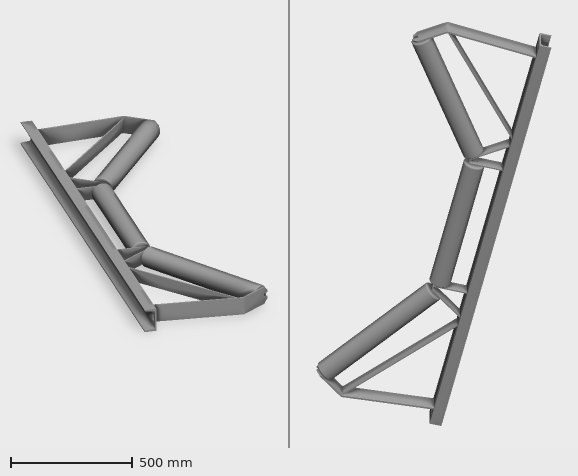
import cadquery as cq
import math


CHANNEL_LENGTH = 1900.0
CHANNEL_HEIGHT = 100.0
CHANNEL_DEPTH = 50.0
WEB_THICKNESS = 6.0
FLANGE_TOE_THICKNESS = 6.8
FLANGE_ROOT_THICKNESS = 10.3
ROOT_RADIUS = 8.5
TOE_RADIUS = 4.0
MOUNT_SLOT_X = 923.0
MOUNT_SLOT_LENGTH = 28.0
MOUNT_SLOT_WIDTH = 17.0

TROUGH_ANGLE = 35.0
ROLLER_DIAMETER = 90.0
ROLLER_LENGTH = 600.0
ROLLER_EDGE_RADIUS = 5.0
SHAFT_DIAMETER = 20.0
SHAFT_FLAT_WIDTH = 17.0
CENTER_ROLLER_Y = 167.0
WING_ROLLER_X = 593.0
WING_ROLLER_Y = 353.0

OUTER_THICKNESS = 8.0
OUTER_WIDTH = 76.0
INNER_THICKNESS = 5.0
INNER_WIDTH = 57.0
ROLLER_GAP = 5.0
OUTER_BEND_Y = 433.0
OUTER_BEND_RADIUS = 17.0
OUTER_FOOT_X = 884.0
OUTER_TIP_RISE = 32.0
OUTER_TIP_CHAMFER = 19.0
INNER_BEND_RADIUS = 4.0
INNER_TOP_Y = 192.0
BRACE_FOOT_X = 471.0

seat_face = ROLLER_LENGTH / 2 + ROLLER_GAP
outer_offset = seat_face + OUTER_THICKNESS / 2
inner_offset = seat_face + INNER_THICKNESS / 2
shaft_half_length = seat_face + OUTER_THICKNESS
axis_x = math.cos(math.radians(TROUGH_ANGLE))
axis_y = math.sin(math.radians(TROUGH_ANGLE))
outer_seat = (WING_ROLLER_X + outer_offset * axis_x, WING_ROLLER_Y + outer_offset * axis_y)
inner_seat = (WING_ROLLER_X - inner_offset * axis_x, WING_ROLLER_Y - inner_offset * axis_y)


def along_plate(seat, distance):
    """Point on a plate square to the right wing roller, a distance up from its axis."""
    return seat[0] - distance * axis_y, seat[1] + distance * axis_x


def plate_point_at_height(seat, height):
    """Point at a given Y on a plate square to the right wing roller."""
    return along_plate(seat, (height - seat[1]) / axis_x)


outer_bend = plate_point_at_height(outer_seat, OUTER_BEND_Y)


def make_channel():
    """Channel with tapered flanges pointing down in Y, slotted through the web near each end."""
    half_height = CHANNEL_HEIGHT / 2
    web_face = CHANNEL_DEPTH - WEB_THICKNESS
    root_z = half_height - FLANGE_ROOT_THICKNESS
    toe_z = half_height - FLANGE_TOE_THICKNESS
    profile = [
        (0, -half_height), (CHANNEL_DEPTH, -half_height),
        (CHANNEL_DEPTH, half_height), (0, half_height),
        (0, toe_z), (web_face, root_z), (web_face, -root_z), (0, -toe_z),
    ]
    channel = (
        cq.Workplane("YZ", origin=(-CHANNEL_LENGTH / 2, 0, 0))
        .polyline(profile).close().extrude(CHANNEL_LENGTH)
    )
    for side in (-1, 1):
        root = cq.selectors.NearestToPointSelector((0, web_face, side * root_z))
        channel = channel.edges(root).fillet(ROOT_RADIUS)
        toe = cq.selectors.NearestToPointSelector((0, 0, side * toe_z))
        channel = channel.edges(toe).fillet(TOE_RADIUS)
    slots = (
        cq.Workplane("XZ")
        .pushPoints([(-MOUNT_SLOT_X, 0), (MOUNT_SLOT_X, 0)])
        .slot2D(MOUNT_SLOT_LENGTH, MOUNT_SLOT_WIDTH, 90)
        .extrude(-CHANNEL_DEPTH)
    )
    return channel.cut(slots)


def make_roller(x, y, tilt):
    """Roller with a through shaft, flattened where its ends sit in the brackets."""
    shell = (
        cq.Workplane("YZ", origin=(-ROLLER_LENGTH / 2, 0, 0))
        .circle(ROLLER_DIAMETER / 2).extrude(ROLLER_LENGTH)
        .faces("<X or >X").edges().fillet(ROLLER_EDGE_RADIUS)
    )
    shaft = (
        cq.Workplane("YZ", origin=(-shaft_half_length, 0, 0))
        .circle(SHAFT_DIAMETER / 2).extrude(2 * shaft_half_length)
    )
    round_part = cq.Workplane("XY").box(2 * seat_face, SHAFT_DIAMETER, SHAFT_DIAMETER)
    flat_part = cq.Workplane("XY").box(2 * shaft_half_length, SHAFT_DIAMETER, SHAFT_FLAT_WIDTH)
    roller = shell.union(shaft.intersect(round_part.union(flat_part)))
    return roller.rotate((0, 0, 0), (0, 0, 1), tilt).translate((x, y, 0))


def offset_path(path, distance):
    """Points of an open path moved sideways, with mitred corners."""
    normals = []
    for (x0, y0), (x1, y1) in zip(path, path[1:]):
        length = math.hypot(x1 - x0, y1 - y0)
        normals.append(((y0 - y1) / length, (x1 - x0) / length))
    before = [normals[0]] + normals
    after = normals + [normals[-1]]
    moved = []
    for (x, y), (ax, ay), (bx, by) in zip(path, before, after):
        reach = distance / (1 + ax * bx + ay * by)
        moved.append((x + reach * (ax + bx), y + reach * (ay + by)))
    return moved


def make_plate(path, width, thickness):
    """Bent plate following a mid-plane path in XY, standing on the channel web."""
    half = thickness / 2
    outline = offset_path(path, half) + offset_path(path, -half)[::-1]
    plate = cq.Workplane("XY", origin=(0, 0, -width / 2)).polyline(outline).close().extrude(width)
    below = cq.Workplane("XY").box(
        CHANNEL_LENGTH, CHANNEL_DEPTH, width, centered=(True, False, True))
    return plate.cut(below)


def make_shaft_slot(seat, tilt):
    """Cutter for a slot that opens upward from the underside of a shaft."""
    slot = (
        cq.Workplane("XY").box(
            2 * OUTER_THICKNESS, ROLLER_DIAMETER, SHAFT_FLAT_WIDTH, centered=(True, False, True))
        .translate((0, -SHAFT_DIAMETER / 2, 0))
    )
    return slot.rotate((0, 0, 0), (0, 0, 1), tilt).translate((*seat, 0))


def make_outer_bracket():
    """Right outer bracket: a leaning leg bent to stand square to the wing roller."""
    leg_slope = (outer_bend[0] - OUTER_FOOT_X) / (outer_bend[1] - CHANNEL_DEPTH)
    buried_foot = (OUTER_FOOT_X - leg_slope * OUTER_THICKNESS, CHANNEL_DEPTH - OUTER_THICKNESS)
    tip = along_plate(outer_seat, OUTER_TIP_RISE)
    path = [buried_foot, outer_bend, tip]
    bracket = make_plate(path, OUTER_WIDTH, OUTER_THICKNESS)
    outside_corner = offset_path(path, -OUTER_THICKNESS / 2)[1]
    inside_corner = offset_path(path, OUTER_THICKNESS / 2)[1]
    outside_edge = cq.selectors.NearestToPointSelector((*outside_corner, 0))
    inside_edge = cq.selectors.NearestToPointSelector((*inside_corner, 0))
    bracket = bracket.edges("|Z").edges(outside_edge).fillet(OUTER_BEND_RADIUS)
    bracket = bracket.edges("|Z").edges(inside_edge).fillet(OUTER_BEND_RADIUS - OUTER_THICKNESS)
    along_thickness = cq.selectors.ParallelDirSelector(cq.Vector(axis_x, axis_y, 0))
    bracket = bracket.edges(along_thickness).edges(">Y").chamfer(OUTER_TIP_CHAMFER)
    return bracket.cut(make_shaft_slot(outer_seat, TROUGH_ANGLE))


def make_inner_bracket():
    """Right inner bracket: an upright leg and a leg square to the wing roller, joined on top."""
    buried_y = CHANNEL_DEPTH - INNER_THICKNESS
    bracket = make_plate([
        (inner_offset, buried_y),
        (inner_offset, INNER_TOP_Y),
        plate_point_at_height(inner_seat, INNER_TOP_Y),
        plate_point_at_height(inner_seat, buried_y),
    ], INNER_WIDTH, INNER_THICKNESS)
    bracket = bracket.faces(">Y").edges("|Z").fillet(INNER_BEND_RADIUS)
    bracket = bracket.cut(make_shaft_slot((inner_offset, CENTER_ROLLER_Y), 0))
    return bracket.cut(make_shaft_slot(inner_seat, TROUGH_ANGLE))


def make_brace(bracket):
    """Right diagonal brace from the outer bracket's bend down to the channel."""
    run = (outer_bend[0] - BRACE_FOOT_X) / (outer_bend[1] - CHANNEL_DEPTH)
    buried_foot = (BRACE_FOOT_X - run * INNER_THICKNESS, CHANNEL_DEPTH - INNER_THICKNESS)
    return make_plate([buried_foot, outer_bend], INNER_WIDTH, INNER_THICKNESS).cut(bracket)


channel = make_channel()
rollers = [
    make_roller(0, CENTER_ROLLER_Y, 0),
    make_roller(WING_ROLLER_X, WING_ROLLER_Y, TROUGH_ANGLE),
    make_roller(-WING_ROLLER_X, WING_ROLLER_Y, -TROUGH_ANGLE),
]
outer_bracket = make_outer_bracket()
inner_bracket = make_inner_bracket()
brace = make_brace(outer_bracket)

bodies = channel.solids().vals()
for roller in rollers:
    bodies += roller.solids().vals()
for right_body in (outer_bracket, inner_bracket, brace):
    bodies += right_body.solids().vals()
    bodies += right_body.mirror("YZ").solids().vals()

result = cq.Compound.makeCompound(bodies)